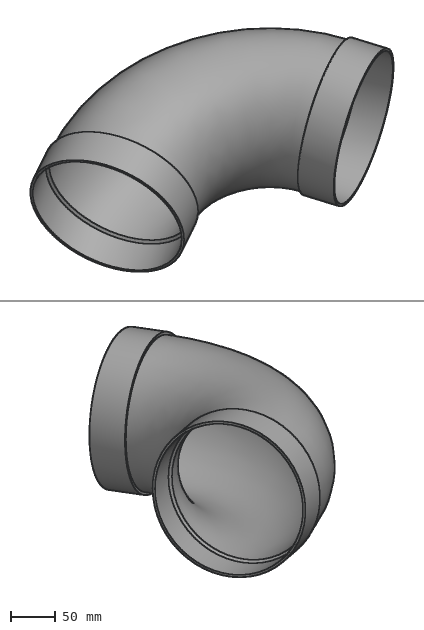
import cadquery as cq

overall_size = 316.0
collar_diameter = 186.0
collar_length = 43.3
socket_diameter = 180.0
elbow_diameter = 179.5
bore_diameter = 174.0
stop_length = 3.2

bend_radius = overall_size - collar_length - collar_diameter / 2


def quarter_bend(diameter):
    """Solid quarter torus joining the two collars."""
    return (
        cq.Workplane("XZ")
        .center(-bend_radius, 0)
        .circle(diameter / 2)
        .revolve(90, (bend_radius, 0, 0), (bend_radius, -1, 0))
    )


def at_both_ends(front_body):
    """Join a body on the -Y collar axis with its mirror copy on the +X collar axis."""
    side_body = front_body.mirror("XZ").rotate((0, 0, 0), (0, 0, 1), -90)
    return front_body.union(side_body)


def front_collar():
    """Solid cylinder of the -Y collar."""
    return cq.Workplane("XZ").center(-bend_radius, 0).circle(collar_diameter / 2).extrude(collar_length)


def front_socket():
    """Pipe socket of the -Y collar, narrowing to the bore through a conical stop."""
    profile = [
        (0, 0),
        (bore_diameter / 2, 0),
        (socket_diameter / 2, -stop_length),
        (socket_diameter / 2, -collar_length),
        (0, -collar_length),
    ]
    socket = cq.Workplane("XY").polyline(profile).close().revolve(360, (0, 0, 0), (0, 1, 0))
    return socket.translate((-bend_radius, 0, 0))


outer_body = quarter_bend(elbow_diameter).union(at_both_ends(front_collar()))
result = outer_body.cut(quarter_bend(bore_diameter)).cut(at_both_ends(front_socket()))